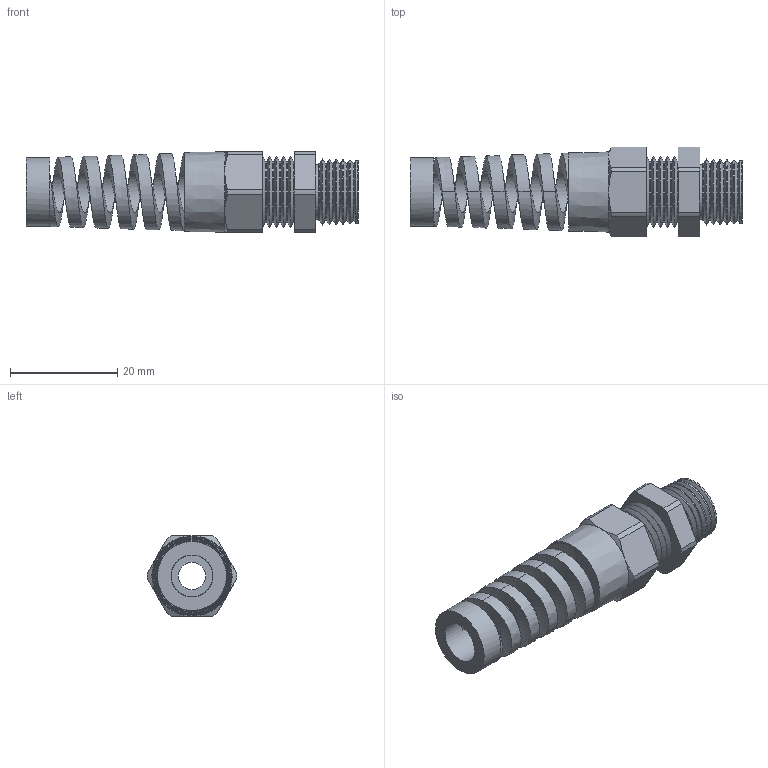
import cadquery as cq
import math

total_length = 61.98

ring_length = 4.4
ring_radius = 6.44
body_start = 29.6
spring_end_radius = 7.3
ribbon_pitch = 4.7
ribbon_inner_width = 2.8
ribbon_outer_width = 2.2
ribbon_start_x = 0.15
ribbon_turns = 7
body_start_radius = 7.36
body_end_radius = 7.5
spring_bore_radius = 3.92
ribbon_allowance = 0.5
ribbon_inner_radius = spring_bore_radius - ribbon_allowance
ribbon_outer_radius = spring_end_radius + ribbon_allowance
through_bore_radius = 2.57

hex_sides = 6
across_flats = 15
across_corners = 16.78
cap_hex_start = 37.1
cap_hex_end = 44.15
hex_chamfer_angle = 30
nut_start = 50.1
nut_end = 54.05

cap_thread_pitch = 1.305
entry_thread_pitch = 1.28
cap_crest_radius = 6.6
cap_root_radius = 5.66
entry_crest_radius = 6.2
entry_root_radius = 5.25
entry_thread_start = 54.65
entry_first_crest = 55.35
entry_crest_count = 6
entry_tip_radius = 5.85
neck_radius = 5.12
ridge_flank_angle = 30


def revolve_profile(points):
    """Turn an (x, radius) outline around the X axis."""
    return cq.Workplane("XZ").polyline(points).close().revolve(360, (0, 0, 0), (1, 0, 0))


def frustum(start, end, start_radius, end_radius):
    """Solid cone or cylinder along X."""
    return revolve_profile([(start, 0), (start, start_radius), (end, end_radius), (end, 0)])


def hexagon(start, end):
    """Hexagonal prism with flats on +Z and -Z and corners rounded to a circle."""
    sharp_diameter = across_flats / math.cos(math.radians(180 / hex_sides))
    prism = cq.Workplane("YZ", origin=(start, 0, 0)).polygon(hex_sides, sharp_diameter).extrude(end - start)
    return prism.intersect(frustum(start, end, across_corners / 2, across_corners / 2))


def ridge(crest_x, crest_radius, root_radius):
    """One sharp thread ridge, reaching down to its root radius."""
    half_base = (crest_radius - root_radius) * math.tan(math.radians(ridge_flank_angle))
    return revolve_profile([
        (crest_x - half_base, 0),
        (crest_x - half_base, root_radius),
        (crest_x, crest_radius),
        (crest_x + half_base, root_radius),
        (crest_x + half_base, 0),
    ])


def ribbon():
    """Right-handed helical ribbon, trimmed outside to the tapered spring."""
    path = cq.Wire.makeHelix(ribbon_pitch, ribbon_pitch * ribbon_turns, spring_end_radius)
    half_inner = ribbon_inner_width / 2
    half_outer = ribbon_outer_width / 2
    coil = (
        cq.Workplane("XZ")
        .polyline([
            (ribbon_inner_radius, -half_inner),
            (ribbon_outer_radius, -half_outer),
            (ribbon_outer_radius, half_outer),
            (ribbon_inner_radius, half_inner),
        ])
        .close()
        .sweep(cq.Workplane(obj=path), isFrenet=True)
        .rotate((0, 0, 0), (0, 1, 0), 90)
        .translate((ribbon_start_x, 0, 0))
    )
    taper = frustum(ring_length, body_start + ribbon_inner_width / 2, ring_radius, spring_end_radius)
    return coil.intersect(taper)


def spring_and_body():
    """End ring and cap body joined by the helical ribbon."""
    ring = frustum(0, ring_length, ring_radius, ring_radius)
    body = frustum(body_start, cap_hex_start, body_start_radius, body_end_radius)
    return ring.union(ribbon()).union(body)


def cap_hexagon():
    """Hexagon whose corners are chamfered on the spring side."""
    chamfer_rise = across_corners / 2 - body_end_radius
    chamfer_length = chamfer_rise * math.tan(math.radians(hex_chamfer_angle))
    corner_cone = revolve_profile([
        (cap_hex_start, 0),
        (cap_hex_start, body_end_radius),
        (cap_hex_start + chamfer_length, across_corners / 2),
        (cap_hex_end, across_corners / 2),
        (cap_hex_end, 0),
    ])
    return hexagon(cap_hex_start, cap_hex_end).intersect(corner_cone)


def cap_thread():
    """Thread between the cap hexagon and the nut, its first ridge half buried in the hexagon."""
    thread = frustum(cap_hex_end, nut_start, cap_root_radius, cap_root_radius)
    ridge_count = math.ceil((nut_start - cap_hex_end) / cap_thread_pitch)
    for index in range(ridge_count):
        crest_x = cap_hex_end + index * cap_thread_pitch
        thread = thread.union(ridge(crest_x, cap_crest_radius, cap_root_radius))
    return thread


def entry_thread():
    """Neck and free-end thread, with crests trimmed by a cone."""
    neck = frustum(nut_end, entry_thread_start, neck_radius, neck_radius)
    thread = frustum(entry_thread_start, total_length, entry_root_radius, entry_root_radius)
    for index in range(entry_crest_count):
        crest_x = entry_first_crest + index * entry_thread_pitch
        thread = thread.union(ridge(crest_x, entry_crest_radius, entry_root_radius))
    crest_cone = frustum(entry_thread_start, total_length, entry_crest_radius, entry_tip_radius)
    return neck.union(thread.intersect(crest_cone))


def bores():
    """Wide bore through the spring, then the narrow bore to the far end."""
    wide = frustum(0, cap_hex_start, spring_bore_radius, spring_bore_radius)
    narrow = frustum(0, total_length, through_bore_radius, through_bore_radius)
    return wide.union(narrow)


result = (
    spring_and_body()
    .union(cap_hexagon())
    .union(cap_thread())
    .union(hexagon(nut_start, nut_end))
    .union(entry_thread())
    .cut(bores())
)